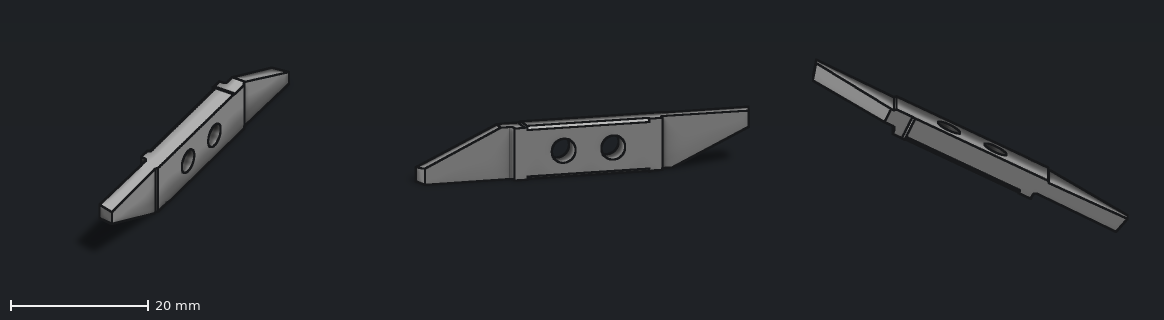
import cadquery as cq
import math

length = 50.5
thickness = 3.6
height = 8.0

half_length = length / 2
half_height = height / 2
back_x = thickness / 2
front_x = -back_x

shoulder_y = 11.2
shoulder_fillet = 0.45
arm_front_root_x = -0.7
arm_front_tip_x = -0.85
arm_back_root_x = 1.5
arm_back_tip_x = 1.65
back_step_y = 12.25
tip_angle = 15.0

step_depth = 0.15
step_run = 0.45
slope_start_y = 13.05
slope_angle = 25.0

edge_chamfer = 0.5
chamfer_length = 18.5
hole_diameter = 3.6
hole_spacing = 7.5


def half_plan():
    """Plan of the +Y half, extruded through the full height."""
    back_step = back_x - arm_back_root_x
    tip_drop = (arm_back_tip_x - arm_front_tip_x) * math.tan(math.radians(tip_angle))
    fillet_middle = shoulder_fillet * math.sqrt(0.5)
    fillet_center_x = arm_front_root_x - shoulder_fillet
    fillet_center_y = shoulder_y + shoulder_fillet
    return (
        cq.Workplane("XY", origin=(0, 0, -half_height))
        .moveTo(front_x, 0)
        .lineTo(front_x, shoulder_y)
        .lineTo(fillet_center_x, shoulder_y)
        .threePointArc(
            (fillet_center_x + fillet_middle, fillet_center_y - fillet_middle),
            (arm_front_root_x, fillet_center_y),
        )
        .lineTo(arm_front_tip_x, half_length - tip_drop)
        .lineTo(arm_back_tip_x, half_length)
        .lineTo(arm_back_root_x, back_step_y + back_step)
        .lineTo(back_x, back_step_y)
        .lineTo(back_x, 0)
        .close()
        .extrude(height)
    )


def side_outline():
    """Side profile, unchanged by a half turn about the X axis."""
    step_start_y = chamfer_length / 2
    step_z = half_height - step_depth
    slope_drop = (half_length - slope_start_y) * math.tan(math.radians(slope_angle))
    upper_edge = [
        (step_start_y, half_height),
        (step_start_y + step_run, step_z),
        (slope_start_y, step_z),
        (half_length, step_z - slope_drop),
    ]
    lower_edge = [(-y, -z) for y, z in upper_edge]
    corners = upper_edge + [(half_length, -half_height)]
    corners += lower_edge + [(-half_length, half_height)]
    return (
        cq.Workplane("YZ", origin=(front_x, 0, 0))
        .polyline(corners)
        .close()
        .extrude(thickness)
    )


def chamfer_cutter(side):
    """Wedge along the front edge; side is 1 for the top, -1 for the bottom."""
    edge_z = side * half_height
    return (
        cq.Workplane("XZ")
        .polyline([
            (front_x, edge_z),
            (front_x + edge_chamfer, edge_z),
            (front_x, edge_z - side * edge_chamfer),
        ])
        .close()
        .extrude(chamfer_length / 2, both=True)
    )


plan = half_plan()
plan = plan.union(plan.mirror("XZ"))
result = plan.intersect(side_outline())

for side in (1, -1):
    result = result.cut(chamfer_cutter(side))

holes = (
    cq.Workplane("YZ", origin=(front_x, 0, 0))
    .pushPoints([(-hole_spacing / 2, 0), (hole_spacing / 2, 0)])
    .circle(hole_diameter / 2)
    .extrude(thickness)
)
result = result.cut(holes)